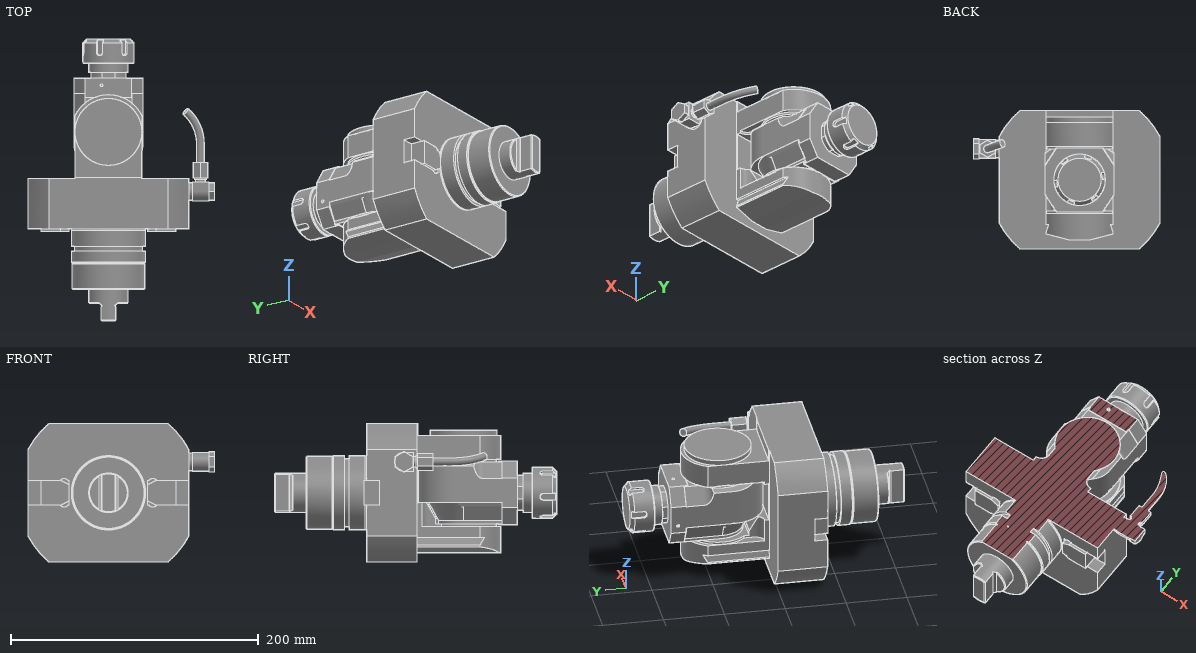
import cadquery as cq
import math


PLATE_WIDTH = 130.0
PLATE_HEIGHT = 112.0
PLATE_THICKNESS = 40.7
PLATE_CORNER_DIA = 147.5
PAD_HEIGHT = 0.6
PAD_BOTTOM_Z = -8.0

KEY_HALF_HEIGHT = 10.0
KEY_SLOT_DEPTH = 10.5
KEY_PROUD = 2.2
KEY_INNER_X = 31.7
KEY_OUTER_X = 54.5
KEY_CORNER_LENGTH = 6.8
KEY_CORNER_HEIGHT = 3.4
KEY_RELIEF_DIA = 8.2
KEY_RELIEF_RISE = 1.5

SHANK_DIA = 60.0
SHANK_NOSE_DIA = 59.0
SHANK_GROOVE_DIA = 55.2
SHANK_STEP_DIA = 59.8
SHANK_STEP_Y = -1.2
SHANK_GROOVE_START_Y = -14.1
SHANK_GROOVE_END_Y = -17.9
SHANK_NOSE_Y = -27.5
SHANK_END_Y = -48.8
SHANK_CHAMFER = 0.7

DRIVE_DIA = 31.9
DRIVE_SHOULDER_Y = -60.1
DRIVE_END_Y = -74.2
DRIVE_CHAMFER = 0.7
TANG_THICKNESS = 12.0
TANG_ROOT_HALF = 7.6
TANG_RELIEF_HALF = 5.1
TANG_RELIEF_DROP = 1.9
TANG_FLANK_DROP = 2.8

PIVOT_Y = 78.2
FORK_WIDTH = 54.0
FORK_END_DIA = 60.0
FORK_TOP_Z = 46.3
FORK_BOTTOM_Z = -48.5
FORK_SLOT_HALF = 27.0
FORK_SLOT_ROOT_Y = 44.6
CAP_DIA = 54.0
CAP_TOP_Z = 50.6
NOTCH_TOP_Z = -36.1
NOTCH_BOTTOM_Z = -42.3
NOTCH_DEPTH = 2.1
BELLY_SIDE_Z = -43.7
BELLY_FLAT_HALF = 8.5

HEAD_HALF_WIDTH = 27.9
HEAD_HALF_HEIGHT = 25.0
HEAD_BACK_CENTER_Y = 69.3
HEAD_WAIST_Z = -8.0
HEAD_CHAMFER_Z = 21.5
HEAD_TOP_HALF = 22.6
HEAD_LOWER_HALF = 26.6
HEAD_LOWER_Z = -11.3
HEAD_FOOT_HALF = 20.5
HEAD_FOOT_Z = -22.2
CONE_TOP_RADIUS = 28.5
BEVEL_STEP = 0.3
RUNOUT_Y = 86.0
RUNOUT_RADIUS = 8.0
SPACER_RADIUS = 26.5
TAIL_RADIUS = 7.6
TAIL_TOP_Y = 48.5
TAIL_BOTTOM_Y = 55.9
TAIL_BEND_Z = -20.9

FACE_BACK_Y = 109.2
FACE_FRONT_Y = 121.6
FACE_HALF_HEIGHT = 25.8
FACE_TOP_HALF = 18.8
FACE_SIDE_HALF = 11.9
LIP_BACK_Y = 106.0
PIN_HOLE_DIA = 2.1
PIN_HOLE_DEPTH = 2.0
PIN_HOLE_OFFSET = -5.6
PIN_HOLE_Y = 115.8

NECK_DIA = 30.2
NECK_FLATS = 28.4
COLLAR_DIA = 31.9
COLLAR_BACK_Y = 126.2
NUT_DIA = 41.5
NUT_BACK_Y = 133.2
NUT_FRONT_Y = 153.33
NUT_FRONT_CHAMFER = 3.4
NUT_BACK_CHAMFER = 0.7
NUT_SLOT_COUNT = 6
NUT_SLOT_WIDTH = 5.4
NUT_SLOT_END_Y = 139.9
NUT_SLOT_FLOOR_RADIUS = 18.3
NUT_SLOT_ANGLE = 9.4

FITTING_Y = 30.1
FITTING_Z = 25.0
FITTING_STEP_DIA = 14.5
FITTING_BODY_DIA = 15.4
FITTING_BODY_X = 67.8
FITTING_HEX_X = 81.0
FITTING_END_X = 85.7
FITTING_HEX_CORNERS = 16.6
BRANCH_X = 74.2
BRANCH_NECK_DIA = 8.2
BRANCH_RING_DIA = 9.8
BRANCH_RING_Y = 39.8
BRANCH_NUT_Y = 40.9
BRANCH_NUT_END_Y = 53.6
BRANCH_NUT_FLATS = 11.9
TUBE_DIA = 6.37
TUBE_BEND_Y = 68.5
TUBE_BEND_RADIUS = 33.4
TUBE_BEND_ANGLE = 51.8
TUBE_TILT = 20.0


def box(x0, x1, y0, y1, z0, z1):
    """Box between the given limits."""
    return cq.Workplane("XY").box(x1 - x0, y1 - y0, z1 - z0, centered=False).translate((x0, y0, z0))


def rod_y(dia, y0, y1, x=0, z=0):
    """Round bar along Y."""
    return cq.Workplane("XZ", origin=(x, y0, z)).circle(dia / 2).extrude(y0 - y1)


def disc_z(dia, z0, z1, y):
    """Round disc about a vertical axis on the centre plane."""
    return cq.Workplane("XY", origin=(0, y, z0)).circle(dia / 2).extrude(z1 - z0)


def prism_y(points, y0, y1):
    """Closed (x, z) outline run along Y."""
    return cq.Workplane("XZ", origin=(0, y0, 0)).polyline(points).close().extrude(y0 - y1)


def both_sides(shape):
    """The shape together with its mirror image across X = 0."""
    return shape.union(shape.mirror("YZ"))


def mounting_plate():
    half_height = PLATE_HEIGHT / 2
    plate = box(-PLATE_WIDTH / 2, PLATE_WIDTH / 2, 0, PLATE_THICKNESS, -half_height, half_height)
    plate = plate.intersect(rod_y(PLATE_CORNER_DIA, 0, PLATE_THICKNESS))
    pad_y = PLATE_THICKNESS + PAD_HEIGHT
    pad = box(-FORK_WIDTH / 2, FORK_WIDTH / 2, 0, pad_y, PAD_BOTTOM_Z, half_height)
    return plate.union(pad)


def key_slot():
    slot = box(KEY_INNER_X, PLATE_WIDTH / 2, 0, KEY_SLOT_DEPTH, -KEY_HALF_HEIGHT, KEY_HALF_HEIGHT)
    relief_radius = KEY_RELIEF_DIA / 2
    relief_x = KEY_INNER_X + relief_radius
    relief_z = KEY_HALF_HEIGHT + KEY_RELIEF_RISE - relief_radius
    for z in (-relief_z, relief_z):
        slot = slot.union(rod_y(KEY_RELIEF_DIA, 0, KEY_SLOT_DEPTH, relief_x, z))
    return both_sides(slot)


def keys():
    flank = KEY_HALF_HEIGHT - KEY_CORNER_HEIGHT
    shoulder_x = KEY_INNER_X + KEY_CORNER_LENGTH
    outline = [
        (KEY_INNER_X, -flank),
        (shoulder_x, -KEY_HALF_HEIGHT),
        (KEY_OUTER_X, -KEY_HALF_HEIGHT),
        (KEY_OUTER_X, KEY_HALF_HEIGHT),
        (shoulder_x, KEY_HALF_HEIGHT),
        (KEY_INNER_X, flank),
    ]
    return both_sides(prism_y(outline, -KEY_PROUD, KEY_SLOT_DEPTH))


def shank():
    body = rod_y(SHANK_STEP_DIA, SHANK_STEP_Y, 0)
    body = body.union(rod_y(SHANK_DIA, SHANK_GROOVE_START_Y, SHANK_STEP_Y))
    body = body.union(rod_y(SHANK_GROOVE_DIA, SHANK_GROOVE_END_Y, SHANK_GROOVE_START_Y))
    collar = rod_y(SHANK_DIA, SHANK_NOSE_Y, SHANK_GROOVE_END_Y).faces("<Y").edges().chamfer(SHANK_CHAMFER)
    nose = rod_y(SHANK_NOSE_DIA, SHANK_END_Y, SHANK_NOSE_Y).edges().chamfer(SHANK_CHAMFER)
    return body.union(collar).union(nose)


def drive_tang():
    bar = rod_y(DRIVE_DIA, DRIVE_SHOULDER_Y, SHANK_END_Y).faces("<Y").edges().chamfer(DRIVE_CHAMFER)
    half = TANG_THICKNESS / 2
    right_flank = [
        (TANG_ROOT_HALF, DRIVE_SHOULDER_Y + DRIVE_CHAMFER),
        (TANG_ROOT_HALF, DRIVE_SHOULDER_Y),
        (TANG_RELIEF_HALF, DRIVE_SHOULDER_Y - TANG_RELIEF_DROP),
        (half, DRIVE_SHOULDER_Y - TANG_FLANK_DROP),
        (half, DRIVE_END_Y + DRIVE_CHAMFER),
        (half - DRIVE_CHAMFER, DRIVE_END_Y),
    ]
    left_flank = [(-x, y) for x, y in reversed(right_flank)]
    outline = right_flank + left_flank
    blade = cq.Workplane("XY").polyline(outline).close().extrude(DRIVE_DIA / 2, both=True)
    tip = rod_y(DRIVE_DIA, DRIVE_END_Y, SHANK_END_Y).faces("<Y").edges().chamfer(DRIVE_CHAMFER)
    return bar.union(blade.intersect(tip))


def lug(z0, z1):
    """Fork arm with a round end about the pivot."""
    half = FORK_WIDTH / 2
    end_y = PIVOT_Y + FORK_END_DIA / 2
    straight = box(-half, half, PLATE_THICKNESS, PIVOT_Y, z0, z1)
    rounded = disc_z(FORK_END_DIA, z0, z1, PIVOT_Y)
    rounded = rounded.intersect(box(-half, half, PIVOT_Y, end_y, z0, z1))
    return straight.union(rounded)


def upper_lug():
    cap = disc_z(CAP_DIA, FORK_TOP_Z, CAP_TOP_Z, PIVOT_Y)
    return lug(FORK_SLOT_HALF, FORK_TOP_Z).union(cap)


def lower_lug():
    half = FORK_WIDTH / 2
    end_y = PIVOT_Y + FORK_END_DIA / 2
    notch = [(half, NOTCH_TOP_Z), (half - NOTCH_DEPTH, NOTCH_TOP_Z), (half, NOTCH_BOTTOM_Z)]
    belly = [(half, BELLY_SIDE_Z), (BELLY_FLAT_HALF, FORK_BOTTOM_Z), (half, FORK_BOTTOM_Z)]
    arm = lug(FORK_BOTTOM_Z, -FORK_SLOT_HALF)
    for outline in (notch, belly):
        arm = arm.cut(both_sides(prism_y(outline, PLATE_THICKNESS, end_y)))
    return arm


def fork_web():
    """Root of the fork, open at mid height for the round back of the head."""
    half = FORK_WIDTH / 2
    lower = box(-half, half, PLATE_THICKNESS, FORK_SLOT_ROOT_Y, -FORK_SLOT_HALF, HEAD_WAIST_Z)
    upper = box(-half, half, PLATE_THICKNESS, FORK_SLOT_ROOT_Y, HEAD_HALF_HEIGHT, FORK_SLOT_HALF)
    return lower.union(upper)


def upper_head():
    """Upper part of the head: straight sides, a round back and beveled top edges."""
    half = HEAD_HALF_WIDTH
    front = box(-half, half, HEAD_BACK_CENTER_Y, FACE_BACK_Y, HEAD_WAIST_Z, HEAD_HALF_HEIGHT)
    back = disc_z(2 * half, HEAD_WAIST_Z, HEAD_HALF_HEIGHT, HEAD_BACK_CENTER_Y)
    section = [
        (-half, HEAD_WAIST_Z),
        (half, HEAD_WAIST_Z),
        (half, HEAD_CHAMFER_Z),
        (HEAD_TOP_HALF, HEAD_HALF_HEIGHT),
        (-HEAD_TOP_HALF, HEAD_HALF_HEIGHT),
        (-half, HEAD_CHAMFER_Z),
    ]
    head = front.union(back).intersect(prism_y(section, PLATE_THICKNESS, FACE_BACK_Y))
    return head.cut(both_sides(bevel_cutter()))


def bevel_cutter():
    """Tool for one upper front bevel, in line with the face plate and ending in a rounded run-out."""
    rise = FACE_HALF_HEIGHT - FACE_SIDE_HALF
    run = HEAD_HALF_WIDTH - FACE_TOP_HALF
    tilt = math.degrees(math.atan2(run, rise))
    reach = FACE_HALF_HEIGHT
    tool = box(-BEVEL_STEP, reach, RUNOUT_Y, FACE_FRONT_Y, -reach, reach)
    tool = tool.edges("<X and <Y").fillet(RUNOUT_RADIUS)
    tool = tool.rotate((0, 0, 0), (0, 1, 0), -tilt)
    return tool.translate((HEAD_HALF_WIDTH, 0, FACE_SIDE_HALF))


def lower_head():
    """Lower part of the head: a beveled bar in front of a cone about the pivot."""
    right_side = [
        (HEAD_HALF_WIDTH, HEAD_WAIST_Z),
        (HEAD_LOWER_HALF, HEAD_LOWER_Z),
        (HEAD_FOOT_HALF, HEAD_FOOT_Z),
        (HEAD_FOOT_HALF, -HEAD_HALF_HEIGHT),
    ]
    left_side = [(-x, z) for x, z in reversed(right_side)]
    bar = prism_y(right_side + left_side, PIVOT_Y, FACE_BACK_Y)
    cone_section = [
        (0, HEAD_WAIST_Z),
        (CONE_TOP_RADIUS, HEAD_WAIST_Z),
        (HEAD_FOOT_HALF, HEAD_FOOT_Z),
        (HEAD_FOOT_HALF, -HEAD_HALF_HEIGHT),
        (0, -HEAD_HALF_HEIGHT),
    ]
    cone = cq.Workplane("XZ").polyline(cone_section).close().revolve(360, (0, 0, 0), (0, 1, 0))
    cone = cone.translate((0, PIVOT_Y, 0))
    clip_right = [
        (HEAD_HALF_WIDTH, HEAD_WAIST_Z),
        (HEAD_LOWER_HALF, HEAD_LOWER_Z),
        (HEAD_LOWER_HALF, -HEAD_HALF_HEIGHT),
    ]
    clip_left = [(-x, z) for x, z in reversed(clip_right)]
    back_half = prism_y(clip_right + clip_left, PLATE_THICKNESS, PIVOT_Y)
    return bar.union(cone.intersect(back_half))


def tail(z0, z1):
    """Narrow wall in front of the fork web, joined to it by a concave fillet on each side."""
    half = FORK_WIDTH / 2
    r = TAIL_RADIUS
    center = (half, FORK_SLOT_ROOT_Y + r)
    wall = box(-half, half, FORK_SLOT_ROOT_Y, PIVOT_Y, z0, z1)
    side = box(half - r, half, FORK_SLOT_ROOT_Y + r, PIVOT_Y, z0, z1)
    hollow = cq.Workplane("XY", origin=(*center, z0)).circle(r).extrude(z1 - z0)
    return wall.cut(both_sides(side.union(hollow)))


def spacer(z0, z1):
    """Thin disc between the head and a lug, with the tail wall behind it."""
    return disc_z(2 * SPACER_RADIUS, z0, z1, PIVOT_Y).union(tail(z0, z1))


def tail_block():
    """Block behind the cone, its front sloped to clear the cone."""
    outline = [
        (FORK_SLOT_ROOT_Y, HEAD_WAIST_Z),
        (TAIL_TOP_Y, HEAD_WAIST_Z),
        (TAIL_BOTTOM_Y, TAIL_BEND_Z),
        (TAIL_BOTTOM_Y, -FORK_SLOT_HALF),
        (FORK_SLOT_ROOT_Y, -FORK_SLOT_HALF),
    ]
    wedge = cq.Workplane("YZ").polyline(outline).close().extrude(FORK_WIDTH, both=True)
    return wedge.intersect(tail(-FORK_SLOT_HALF, HEAD_WAIST_Z))


def face_plate():
    outline = [
        (FACE_TOP_HALF, FACE_HALF_HEIGHT),
        (HEAD_HALF_WIDTH, FACE_SIDE_HALF),
        (HEAD_HALF_WIDTH, -FACE_SIDE_HALF),
        (FACE_TOP_HALF, -FACE_HALF_HEIGHT),
        (-FACE_TOP_HALF, -FACE_HALF_HEIGHT),
        (-HEAD_HALF_WIDTH, -FACE_SIDE_HALF),
        (-HEAD_HALF_WIDTH, FACE_SIDE_HALF),
        (-FACE_TOP_HALF, FACE_HALF_HEIGHT),
    ]
    plate = prism_y(outline, FACE_BACK_Y, FACE_FRONT_Y)
    lips = box(-FACE_TOP_HALF, FACE_TOP_HALF, LIP_BACK_Y, FACE_BACK_Y, -FACE_HALF_HEIGHT, FACE_HALF_HEIGHT)
    top_hole = cq.Workplane("XY", origin=(PIN_HOLE_OFFSET, PIN_HOLE_Y, FACE_HALF_HEIGHT))
    side_hole = cq.Workplane("YZ", origin=(-HEAD_HALF_WIDTH, PIN_HOLE_Y, PIN_HOLE_OFFSET))
    plate = plate.union(lips)
    plate = plate.cut(top_hole.circle(PIN_HOLE_DIA / 2).extrude(-PIN_HOLE_DEPTH))
    return plate.cut(side_hole.circle(PIN_HOLE_DIA / 2).extrude(PIN_HOLE_DEPTH))


def nut_slot():
    """Cutter for one wrench slot of the collet nut, on its +X side."""
    end_center_y = NUT_SLOT_END_Y + NUT_SLOT_WIDTH / 2
    half = NUT_SLOT_WIDTH / 2
    slot = box(NUT_SLOT_FLOOR_RADIUS, NUT_DIA, end_center_y, NUT_FRONT_Y, -half, half)
    end = cq.Workplane("YZ", origin=(NUT_SLOT_FLOOR_RADIUS, end_center_y, 0)).circle(half).extrude(NUT_DIA)
    return slot.union(end)


def spindle():
    flats = cq.Workplane("XY").box(NECK_FLATS, NUT_FRONT_Y * 2, NECK_FLATS)
    neck = rod_y(NECK_DIA, FACE_FRONT_Y, COLLAR_BACK_Y).intersect(flats)
    collar = rod_y(COLLAR_DIA, COLLAR_BACK_Y, NUT_BACK_Y)
    nut = rod_y(NUT_DIA, NUT_BACK_Y, NUT_FRONT_Y)
    nut = nut.faces(">Y").edges().chamfer(NUT_FRONT_CHAMFER)
    nut = nut.faces("<Y").edges().chamfer(NUT_BACK_CHAMFER)
    for index in range(NUT_SLOT_COUNT):
        angle = NUT_SLOT_ANGLE + index * 360 / NUT_SLOT_COUNT
        nut = nut.cut(nut_slot().rotate((0, 0, 0), (0, 1, 0), angle))
    return neck.union(collar).union(nut)


def fitting_body():
    """Elbow body along X with a hexagon at its outer end."""
    plate_x = PLATE_WIDTH / 2
    radius = FITTING_BODY_DIA / 2
    base = cq.Workplane("YZ", origin=(0, FITTING_Y, FITTING_Z))
    step = base.workplane(offset=plate_x).circle(FITTING_STEP_DIA / 2).extrude(FITTING_BODY_X - plate_x)
    body = base.workplane(offset=FITTING_BODY_X).circle(radius).extrude(FITTING_HEX_X - FITTING_BODY_X)
    square_side = box(
        FITTING_BODY_X, FITTING_HEX_X,
        FITTING_Y, FITTING_Y + radius,
        FITTING_Z - radius, FITTING_Z + radius,
    )
    hexagon = base.workplane(offset=FITTING_HEX_X).transformed(rotate=(0, 0, 90))
    hexagon = hexagon.polygon(6, FITTING_HEX_CORNERS).extrude(FITTING_END_X - FITTING_HEX_X)
    return step.union(body).union(square_side).union(hexagon)


def coolant_branch():
    """Neck, union nut and bent tube leaving the elbow toward +Y."""
    elbow_y = FITTING_Y + FITTING_BODY_DIA / 2
    branch = rod_y(BRANCH_NECK_DIA, elbow_y, BRANCH_RING_Y, BRANCH_X, FITTING_Z)
    branch = branch.union(rod_y(BRANCH_RING_DIA, BRANCH_RING_Y, BRANCH_NUT_Y, BRANCH_X, FITTING_Z))
    nut_corners = BRANCH_NUT_FLATS / math.cos(math.radians(30))
    nut = cq.Workplane("XZ", origin=(BRANCH_X, BRANCH_NUT_Y, FITTING_Z)).transformed(rotate=(0, 0, 90))
    nut = nut.polygon(6, nut_corners).extrude(BRANCH_NUT_Y - BRANCH_NUT_END_Y)
    straight = rod_y(TUBE_DIA, BRANCH_NUT_END_Y, TUBE_BEND_Y, BRANCH_X, FITTING_Z)
    bend = cq.Workplane("XZ", origin=(BRANCH_X, TUBE_BEND_Y, FITTING_Z)).circle(TUBE_DIA / 2)
    bend = bend.revolve(TUBE_BEND_ANGLE, (-TUBE_BEND_RADIUS, 0, 0), (-TUBE_BEND_RADIUS, 1, 0))
    bend = bend.rotate((BRANCH_X, 0, FITTING_Z), (BRANCH_X, 1, FITTING_Z), TUBE_TILT)
    return branch.union(nut).union(straight).union(bend)


result = mounting_plate().cut(key_slot())
for piece in (
    keys(),
    shank(),
    drive_tang(),
    fork_web(),
    upper_lug(),
    lower_lug(),
    upper_head(),
    lower_head(),
    spacer(HEAD_HALF_HEIGHT, FORK_SLOT_HALF),
    spacer(-FORK_SLOT_HALF, -HEAD_HALF_HEIGHT),
    tail_block(),
    face_plate(),
    spindle(),
    fitting_body(),
    coolant_branch(),
):
    result = result.union(piece)